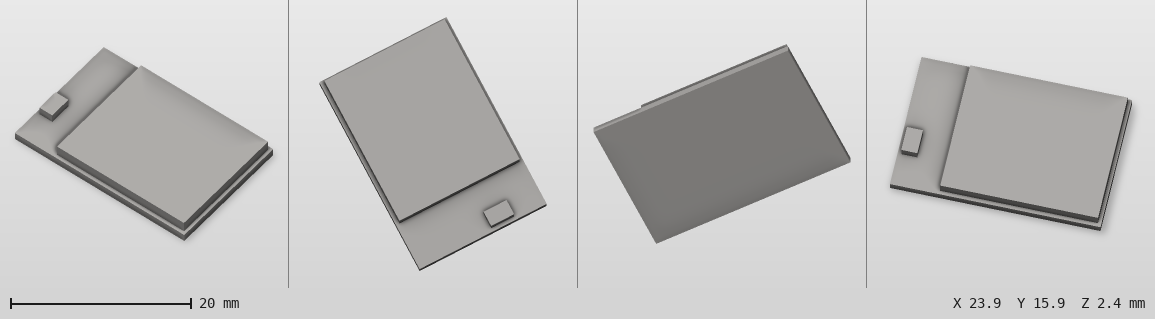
import cadquery as cq

board_length = 23.9
board_width = 15.9
board_thickness = 1.0

total_height = 2.4
shield_side_inset = 0.43
shield_end_inset = 0.38
shield_length = 17.9
shield_width = board_width - 2 * shield_side_inset
shield_height = total_height - board_thickness

chip_length = 1.82
chip_width = 2.87
chip_height = 1.1
chip_inset = 0.43
chip_side_offset = 3.85


def block(length, width, height, min_x, min_y, min_z):
    """Box located by its lowest corner."""
    return cq.Workplane("XY").box(length, width, height, centered=False).translate((min_x, min_y, min_z))


board_min_x = -board_length / 2
board_min_y = -board_width / 2

board = block(board_length, board_width, board_thickness, board_min_x, board_min_y, 0)

shield = block(
    shield_length,
    shield_width,
    shield_height,
    board_length / 2 - shield_end_inset - shield_length,
    board_min_y + shield_side_inset,
    board_thickness,
)

chip = block(
    chip_length,
    chip_width,
    chip_height,
    board_min_x + chip_inset,
    board_min_y + chip_side_offset,
    board_thickness,
)

result = board.union(shield).union(chip)